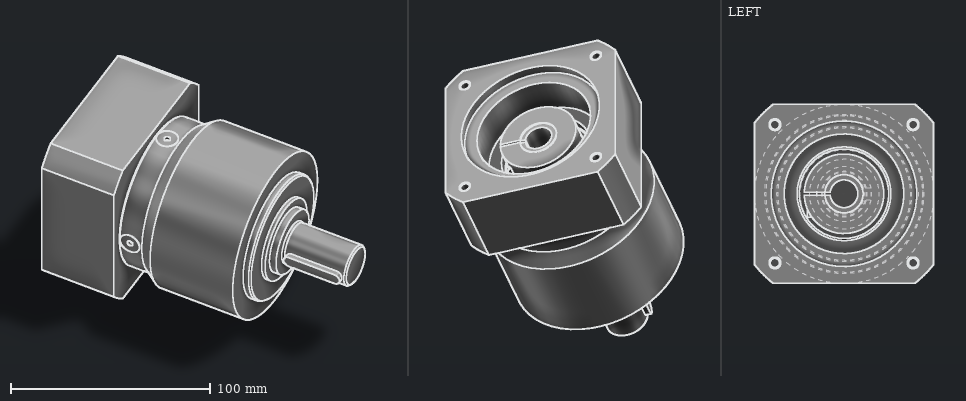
import cadquery as cq
import math

total_length = 155.0
body_radius = 45.03

flange_length = 41.2
flange_flat_half = 35.6
bolt_offset = 34.7
bolt_hole_radius = 2.3
bolt_hole_depth = 12.4
bolt_mouth_radius = 3.0
bolt_mouth_depth = 0.3

body_overlap = 1.5
relief_end = 41.7
relief_radius = 39.4
neck_radius = 40.0
neck_end = 54.4
cone_end = 61.8
body_end = 109.0

pilot_radius = 34.0
pilot_end = 113.2
pilot_chamfer_length = 1.1
pilot_chamfer_height = 0.6
cover_radius = 22.2
cover_end = 115.2
collar_radius = 17.5
collar_end = 118.9

shaft_radius = 11.0
shaft_root_radius = 11.5
shaft_start = 120.3
shaft_chamfer = 1.0

key_start = 121.0
key_length = 32.0
key_width = 6.2
key_top = 13.5
key_bottom = 7.0

plug_position = 47.5
plug_radius = 5.6
plug_face = 39.5
plug_socket_radius = 1.5
plug_socket_depth = 2.3

spigot_radius = 36.6
spigot_depth = 5.5
chamber_radius = 30.0
chamber_depth = 24.8
recess_radius = 23.5
recess_depth = 29.5
recess_floor_radius = 22.5
recess_bevel = recess_radius - recess_floor_radius

hub_radius = 20.0
hub_start = 12.4
hub_neck_length = 1.5
hub_end = recess_depth - hub_neck_length
hub_neck_radius = 13.8
hub_mouth_radius = 9.6
hub_mouth_depth = 0.6
hub_bore_radius = 7.0
hub_relief_depth = 4.6
slit_width = 1.5

screw_radius = 3.7
screw_position = 21.0
screw_offset = 14.7
screw_bottom = -11.8
screw_height = 4.6


def disc(radius, start, end):
    """Cylinder on the main axis between two X positions."""
    return cq.Workplane("YZ").workplane(offset=start).circle(radius).extrude(end - start)


def turned(profile):
    """Solid of revolution about the X axis from (x, radius) points."""
    return cq.Workplane("XY").polyline(profile).close().revolve(360, (0, 0, 0), (1, 0, 0))


def flange():
    square = cq.Workplane("YZ").rect(2 * body_radius, 2 * body_radius).extrude(flange_length)
    corner_radius = math.hypot(body_radius, flange_flat_half)
    return square.intersect(disc(corner_radius, 0, flange_length))


def body_and_shaft():
    return turned([
        (flange_length - body_overlap, 0),
        (flange_length - body_overlap, relief_radius),
        (relief_end, relief_radius),
        (relief_end, neck_radius),
        (neck_end, neck_radius),
        (cone_end, body_radius),
        (body_end, body_radius),
        (body_end, pilot_radius),
        (pilot_end - pilot_chamfer_length, pilot_radius),
        (pilot_end, pilot_radius - pilot_chamfer_height),
        (pilot_end, cover_radius),
        (cover_end, cover_radius),
        (cover_end, collar_radius),
        (collar_end, collar_radius),
        (collar_end, shaft_root_radius),
        (shaft_start, shaft_radius),
        (total_length - shaft_chamfer, shaft_radius),
        (total_length, shaft_radius - shaft_chamfer),
        (total_length, 0),
    ])


def key():
    middle = key_start + key_length / 2
    base = cq.Workplane("XZ", origin=(middle, -key_bottom, 0))
    return base.slot2D(key_length, key_width).extrude(key_top - key_bottom)


def input_opening():
    """Stepped bore whose floor is bevelled down towards its wall."""
    return turned([
        (0, 0),
        (0, spigot_radius),
        (spigot_depth, spigot_radius),
        (spigot_depth, chamber_radius),
        (chamber_depth, chamber_radius),
        (chamber_depth, recess_radius),
        (recess_depth + recess_bevel, recess_radius),
        (recess_depth, recess_floor_radius),
        (recess_depth, 0),
    ])


def clamping_hub():
    ring = disc(hub_radius, hub_start, hub_end)
    slit_length = hub_end - hub_start
    slit = cq.Workplane("XY", origin=(hub_start, 0, 0)).box(
        slit_length, hub_radius, slit_width, centered=(False, False, True)
    )
    screw_head = (
        cq.Workplane("XY", origin=(screw_position, screw_offset, screw_bottom))
        .circle(screw_radius)
        .extrude(screw_height)
    )
    neck = disc(hub_neck_radius, hub_end, recess_depth)
    return ring.cut(slit).union(screw_head).union(neck)


def hub_bore():
    mouth = disc(hub_mouth_radius, hub_start, hub_start + hub_mouth_depth)
    bore = disc(hub_bore_radius, hub_start, hub_end)
    relief = disc(hub_mouth_radius, hub_end, hub_end + hub_relief_depth)
    return mouth.union(bore).union(relief)


def bolt_holes():
    hole = turned([
        (0, 0),
        (0, bolt_mouth_radius),
        (bolt_mouth_depth, bolt_hole_radius),
        (bolt_hole_depth, bolt_hole_radius),
        (bolt_hole_depth, 0),
    ])
    holes = cq.Workplane("XY")
    for y in (-bolt_offset, bolt_offset):
        for z in (-bolt_offset, bolt_offset):
            holes = holes.add(hole.translate((0, y, z)))
    return holes.combine()


def plug_recess(plane):
    """Flat spot with a blind socket, facing outwards along the plane's normal."""
    face = cq.Workplane(plane, origin=(plug_position, 0, 0)).workplane(offset=plug_face)
    flat = face.circle(plug_radius).extrude(neck_radius - plug_face)
    socket = face.circle(plug_socket_radius).extrude(-plug_socket_depth)
    return flat.union(socket)


result = flange().union(body_and_shaft()).union(key())
result = result.cut(input_opening()).union(clamping_hub()).cut(hub_bore())
result = result.cut(bolt_holes())
for plane in ("XZ", "XY"):
    result = result.cut(plug_recess(plane))